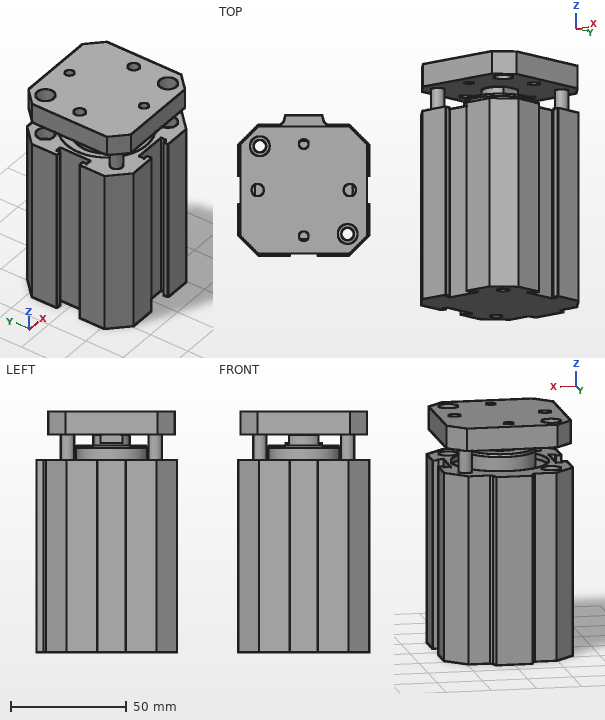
import cadquery as cq

total_height = 104.5
housing_width = 57.0
housing_height = 83.5
housing_corner = 9.0
plate_width = 55.0
plate_thickness = 10.0
plate_corner = 7.5

slot_opening = 12.0
slot_inner_width = 16.2
slot_lip = 2.5
slot_depth = 5.2
slot_mouth_bevel = 0.2

overall_depth = 61.0
rail_tip_width = 16.0
rail_neck_width = 17.6
rail_foot_width = 19.9
rail_foot_height = 1.0

recess_diameter = 42.5
recess_depth = 2.3
nose_diameter = 31.0
nose_top = 89.7
nose_bevel_height = 1.1
nose_bevel_inset = 0.5

corner_offset = 19.0
guide_rod_diameter = 6.0
clamp_hole_diameter = 5.3
clamp_head_diameter = 8.6
clamp_head_depth = 6.0

piston_rod_diameter = 16.0
wrench_flat_width = 13.0
wrench_flat_bottom = 90.7
piston_rod_bevel = 0.3

plate_hole_offset = 20.0
x_hole_diameter = 5.3
y_hole_diameter = 4.2

housing_half = housing_width / 2
rail_height = overall_depth - housing_width
plate_bottom = total_height - plate_thickness
guide_rod_places = [(-corner_offset, -corner_offset), (corner_offset, corner_offset)]
clamp_hole_places = [(-corner_offset, corner_offset), (corner_offset, -corner_offset)]


def at_height(z):
    return cq.Workplane("XY").workplane(offset=z)


def beveled_block(width, corner, bottom, height):
    """Square block with four beveled vertical edges."""
    return at_height(bottom).rect(width, width).extrude(height).edges("|Z").chamfer(corner)


def t_slot():
    """Cutter for the T-slot that opens to the -Y side."""
    undercut_depth = slot_depth - slot_lip
    opening = cq.Workplane("XY").rect(slot_opening, 2 * slot_lip).extrude(housing_height)
    undercut = (
        cq.Workplane("XY")
        .center(0, slot_lip + undercut_depth / 2)
        .rect(slot_inner_width, undercut_depth)
        .extrude(housing_height)
    )
    half_mouth = slot_opening / 2 + slot_mouth_bevel
    mouth = (
        cq.Workplane("XY")
        .polyline([
            (-half_mouth, 0),
            (half_mouth, 0),
            (slot_opening / 2, slot_mouth_bevel),
            (-slot_opening / 2, slot_mouth_bevel),
        ])
        .close()
        .extrude(housing_height)
    )
    return opening.union(undercut).union(mouth).translate((0, -housing_half, 0))


def rail():
    """Tapered rail with a flared foot on the +Y side."""
    half_profile = [
        (rail_foot_width / 2, 0),
        (rail_neck_width / 2, rail_foot_height),
        (rail_tip_width / 2, rail_height),
    ]
    mirrored = [(-x, y) for x, y in reversed(half_profile)]
    return (
        cq.Workplane("XY")
        .center(0, housing_half)
        .polyline(half_profile + mirrored)
        .close()
        .extrude(housing_height)
    )


def nose():
    """Round nose with a steep bevel around its top edge."""
    bottom = housing_height - recess_depth
    return (
        at_height(bottom)
        .circle(nose_diameter / 2)
        .extrude(nose_top - bottom)
        .faces(">Z")
        .chamfer(nose_bevel_height, nose_bevel_inset)
    )


def make_housing():
    body = beveled_block(housing_width, housing_corner, 0, housing_height)
    for angle in (-90, 0, 90):
        body = body.cut(t_slot().rotate((0, 0, 0), (0, 0, 1), angle))
    body = body.union(rail())
    body = body.cut(
        at_height(housing_height).circle(recess_diameter / 2).extrude(-recess_depth)
    )
    body = body.union(nose())
    return (
        body.cut(at_height(0).pushPoints(clamp_hole_places)
                 .circle(clamp_hole_diameter / 2).extrude(housing_height))
        .cut(at_height(housing_height).pushPoints(clamp_hole_places)
             .circle(clamp_head_diameter / 2).extrude(-clamp_head_depth))
    )


def piston_rod():
    """Round rod from the nose to the plate, with flats facing -X and +X below the plate."""
    rod = (
        at_height(nose_top)
        .circle(piston_rod_diameter / 2)
        .extrude(plate_bottom - nose_top)
        .faces(">Z")
        .chamfer(piston_rod_bevel)
    )
    flat_height = plate_bottom - wrench_flat_bottom
    outside_flats = (
        at_height(wrench_flat_bottom)
        .rect(2 * piston_rod_diameter, 2 * piston_rod_diameter)
        .rect(wrench_flat_width, 2 * piston_rod_diameter)
        .extrude(flat_height)
    )
    return rod.cut(outside_flats)


def make_plunger():
    """End plate carried by the piston rod and the two guide rods."""
    body = beveled_block(plate_width, plate_corner, plate_bottom, plate_thickness)
    hole_patterns = [
        (clamp_hole_places, clamp_head_diameter),
        ([(-plate_hole_offset, 0), (plate_hole_offset, 0)], x_hole_diameter),
        ([(0, -plate_hole_offset), (0, plate_hole_offset)], y_hole_diameter),
    ]
    for places, diameter in hole_patterns:
        body = body.cut(
            at_height(plate_bottom).pushPoints(places).circle(diameter / 2).extrude(plate_thickness)
        )
    guide_rods = (
        at_height(housing_height)
        .pushPoints(guide_rod_places)
        .circle(guide_rod_diameter / 2)
        .extrude(plate_bottom - housing_height)
    )
    return body.union(piston_rod()).union(guide_rods)


housing = make_housing()
plunger = make_plunger()

result = cq.Compound.makeCompound([housing.val(), plunger.val()])